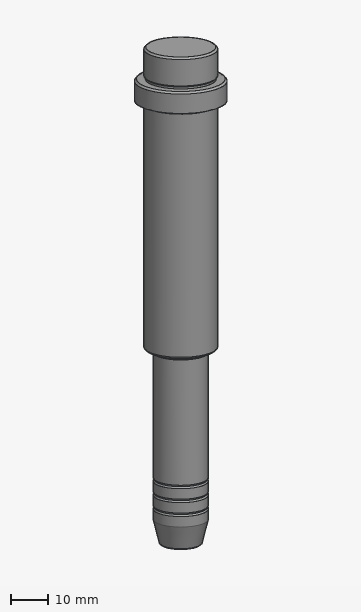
import cadquery as cq

total_length = 140.0
body_diameter = 20.0
flange_diameter = 25.0
pin_diameter = 15.0
tip_diameter = 11.5

flange_top_depth = 9.0
flange_bottom_depth = 15.0
body_bottom_depth = 85.0

edge_chamfer = 0.5
tip_chamfer = 0.4
undercut_width = 1.0
undercut_depth = 0.4
flange_undercut_runout = 0.4

taper_length = 7.0
groove_count = 3
groove_pitch = 3.9
groove_width = 1.0
groove_depth = 0.3
first_groove_bottom = 10.0

bottom_z = -total_length / 2
top_z = total_length / 2
flange_top_z = top_z - flange_top_depth
flange_bottom_z = top_z - flange_bottom_depth
body_bottom_z = top_z - body_bottom_depth
taper_top_z = bottom_z + taper_length


def cylinder(diameter, low_z, high_z):
    """Solid cylinder on the Z axis between two heights."""
    return cq.Workplane("XY").workplane(offset=low_z).circle(diameter / 2).extrude(high_z - low_z)


def ring(profile):
    """Solid ring swept around Z from (radius, height) points."""
    return cq.Workplane("XZ").polyline(profile).close().revolve(360, (0, 0), (0, 1))


def vee_groove(radius, low_z):
    """Ring that cuts a V groove into a cylinder of the given radius."""
    return ring([
        (radius, low_z),
        (radius - groove_depth, low_z + groove_width / 2),
        (radius, low_z + groove_width),
    ])


def undercut(radius, shoulder_z, direction, runout):
    """Neck cutter above (+1) or below (-1) a shoulder; its far end slopes over the runout length."""
    runout_end_z = shoulder_z + direction * undercut_width
    runout_start_z = runout_end_z - direction * runout
    return ring([
        (radius, shoulder_z),
        (radius - undercut_depth, shoulder_z),
        (radius - undercut_depth, runout_start_z),
        (radius, runout_end_z),
    ])


tip = (
    cq.Workplane("XY")
    .workplane(offset=bottom_z)
    .circle(tip_diameter / 2)
    .workplane(offset=taper_length)
    .circle(pin_diameter / 2)
    .loft(ruled=True)
    .faces("<Z")
    .chamfer(tip_chamfer)
)

pin = cylinder(pin_diameter, taper_top_z, body_bottom_z)
for index in range(groove_count):
    groove_bottom_z = bottom_z + first_groove_bottom + index * groove_pitch
    pin = pin.cut(vee_groove(pin_diameter / 2, groove_bottom_z))
pin = pin.cut(undercut(pin_diameter / 2, body_bottom_z, -1, runout=0))

body = cylinder(body_diameter, body_bottom_z, top_z).faces("<Z or >Z").chamfer(edge_chamfer)
for shoulder_z, direction in ((flange_top_z, 1), (flange_bottom_z, -1)):
    body = body.cut(undercut(body_diameter / 2, shoulder_z, direction, flange_undercut_runout))

flange = cylinder(flange_diameter, flange_bottom_z, flange_top_z).faces(">Z").chamfer(edge_chamfer)

result = tip.union(pin).union(body).union(flange)